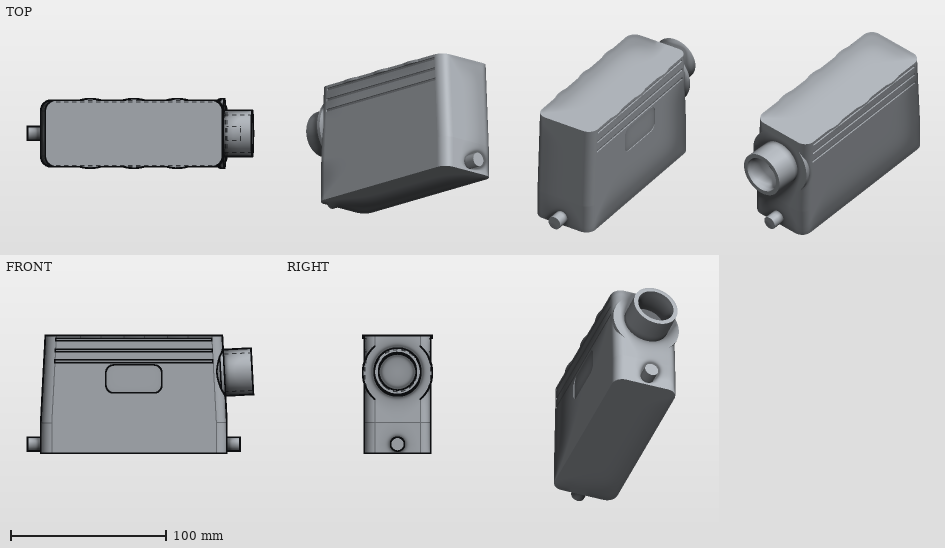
import cadquery as cq
import math

BASE_LENGTH = 120.0
BODY_WIDTH = 43.0
BODY_HEIGHT = 76.0
SKIRT_HEIGHT = 20.0
CORNER_RADIUS = 7.0
END_TILT = 3.0
END_SLOPE = math.tan(math.radians(END_TILT))

OVERALL_WIDTH = 45.0
BUMP_RISE = (OVERALL_WIDTH - BODY_WIDTH) / 2
BUMP_CHORD = 13.2
BUMP_PITCH = 28.0
BUMP_COUNT = 3
BUMP_ROOT = 0.8

GROOVE_HEIGHT = 1.75
GROOVE_DEPTH = 1.0
GROOVE_PITCH = 7.0
GROOVE_COUNT = 3

PEG_DIAMETER = 9.0
PEG_SPAN = 137.0
PEG_Z = 6.0

OUTLET_Z = 52.0
OUTLET_DIAMETER = 30.0
OUTLET_LENGTH = 18.0
BORE_DIAMETER = 24.24
COLLAR_DIAMETER = OVERALL_WIDTH
COLLAR_THICKNESS = 2.46
COLLAR_TAPER_LENGTH = 6.0
COLLAR_TAPER_ANGLE = 30.0
COLLAR_TAPER_DROP = COLLAR_TAPER_LENGTH * math.tan(math.radians(COLLAR_TAPER_ANGLE))

PLATE_LENGTH = 36.0
PLATE_HEIGHT = 18.0
PLATE_RADIUS = 5.0
PLATE_DEPTH = 0.5
PLATE_Z = 48.0


def half_length(z):
    """Half of the body length at height z."""
    return BASE_LENGTH / 2 - END_SLOPE * max(0.0, z - SKIRT_HEIGHT)


def make_body():
    profile = (
        cq.Workplane("XZ")
        .moveTo(-BASE_LENGTH / 2, 0)
        .lineTo(BASE_LENGTH / 2, 0)
        .lineTo(BASE_LENGTH / 2, SKIRT_HEIGHT)
        .lineTo(half_length(BODY_HEIGHT), BODY_HEIGHT)
        .lineTo(-half_length(BODY_HEIGHT), BODY_HEIGHT)
        .lineTo(-BASE_LENGTH / 2, SKIRT_HEIGHT)
        .close()
    )
    block = profile.extrude(BODY_WIDTH / 2, both=True)
    upright_edges = block.faces("<Y or >Y").edges("not #Z").edges("not |X")
    return block.newObject(upright_edges.vals()).fillet(CORNER_RADIUS)


def make_bump(x, side):
    """Circular-segment bump on the wall at y = side * BODY_WIDTH / 2."""
    wall = side * BODY_WIDTH / 2
    root = -side * BUMP_ROOT
    return (
        cq.Workplane("XY", origin=(x, wall, BODY_HEIGHT))
        .moveTo(-BUMP_CHORD / 2, 0)
        .threePointArc((0, side * BUMP_RISE), (BUMP_CHORD / 2, 0))
        .lineTo(BUMP_CHORD / 2, root)
        .lineTo(-BUMP_CHORD / 2, root)
        .close()
        .extrude(-GROOVE_HEIGHT)
    )


def make_groove(top, side):
    """Groove whose ends follow the lines where the corner rounding begins."""
    bottom = top - GROOVE_HEIGHT
    top_end = half_length(top) - CORNER_RADIUS
    bottom_end = half_length(bottom) - CORNER_RADIUS
    floor = side * (BODY_WIDTH / 2 - GROOVE_DEPTH)
    return (
        cq.Workplane("XZ", origin=(0, floor, 0))
        .polyline([(-bottom_end, bottom), (bottom_end, bottom), (top_end, top), (-top_end, top)])
        .close()
        .extrude(-side * GROOVE_DEPTH)
    )


def make_pegs():
    """One rod through the full length; its two ends are the pegs."""
    return (
        cq.Workplane("YZ", origin=(-PEG_SPAN / 2, 0, PEG_Z))
        .circle(PEG_DIAMETER / 2)
        .extrude(PEG_SPAN)
    )


def place_on_end_wall(shape):
    """Move a shape built along +X at the origin onto the sloping end wall."""
    tilted = shape.rotate((0, 0, 0), (0, 1, 0), -END_TILT)
    return tilted.translate((half_length(OUTLET_Z), 0, OUTLET_Z))


def make_collar():
    """Disc flush with the end wall, tapering inward behind its rim."""
    radius = COLLAR_DIAMETER / 2
    back = -COLLAR_THICKNESS - COLLAR_TAPER_LENGTH
    collar = (
        cq.Workplane("XY")
        .moveTo(0, 0)
        .lineTo(0, radius)
        .lineTo(-COLLAR_THICKNESS, radius)
        .lineTo(back, radius - COLLAR_TAPER_DROP)
        .lineTo(back, 0)
        .close()
        .revolve(360, (0, 0, 0), (1, 0, 0))
    )
    return place_on_end_wall(collar)


def make_spout():
    return place_on_end_wall(cq.Workplane("YZ").circle(OUTLET_DIAMETER / 2).extrude(OUTLET_LENGTH))


def make_bore():
    """Blind bore that ends level with the end wall."""
    return place_on_end_wall(cq.Workplane("YZ").circle(BORE_DIAMETER / 2).extrude(OUTLET_LENGTH))


def make_plate_recess():
    return (
        cq.Workplane("XZ", origin=(0, -BODY_WIDTH / 2, PLATE_Z))
        .rect(PLATE_LENGTH, PLATE_HEIGHT)
        .extrude(-PLATE_DEPTH)
        .edges("|Y")
        .fillet(PLATE_RADIUS)
    )


result = make_body()
for wall_side in (-1, 1):
    for i in range(GROOVE_COUNT):
        groove_top = BODY_HEIGHT - GROOVE_HEIGHT - i * GROOVE_PITCH
        result = result.cut(make_groove(groove_top, wall_side))
    for i in range(BUMP_COUNT):
        bump_x = (i - (BUMP_COUNT - 1) / 2) * BUMP_PITCH
        result = result.union(make_bump(bump_x, wall_side))
result = result.union(make_pegs())
result = result.union(make_collar())
result = result.union(make_spout())
result = result.cut(make_bore())
result = result.cut(make_plate_recess())